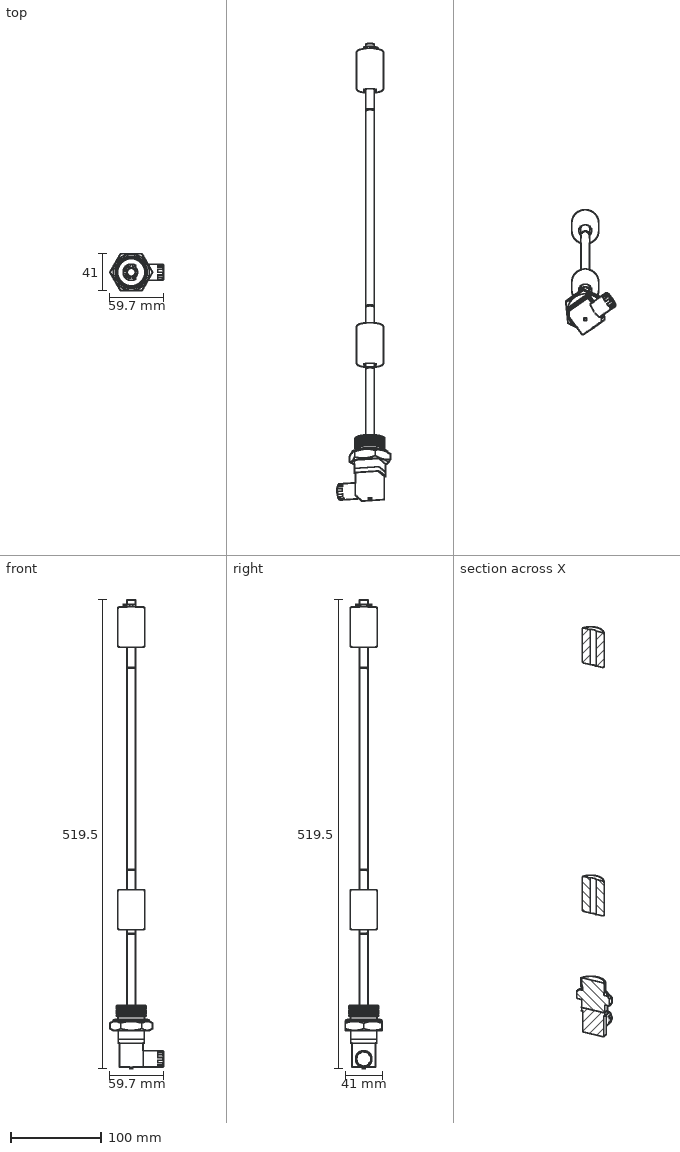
import cadquery as cq
import math

TOTAL_HEIGHT = 519.5

SCREW_DIAMETER = 3.4
PLUG_BOTTOM = 1.5
PLUG_WIDTH = 26.5
PLUG_CORNER_RADIUS = 1.3
PLUG_BOTTOM_FILLET = 1.0
COLLAR_WIDTH = 29.0
COLLAR_CORNER_RADIUS = 2.5
COLLAR_BOTTOM = 28.0
COLLAR_TOP = 33.0
GLAND_DIAMETER = 18.0
GLAND_AXIS_Z = PLUG_BOTTOM + GLAND_DIAMETER / 2
GLAND_END_X = 36.0
GLAND_NUT_LENGTH = 6.0
GLAND_NUT_START_X = GLAND_END_X - GLAND_NUT_LENGTH
NUT_CHAMFER = 1.0
NUT_FLUTES = 9
FLUTE_DIAMETER = 3.0

HEX_SIDES = 6
HEX_ACROSS_FLATS = 41.0
HEX_BOTTOM = 42.0
HEX_TOP = 52.5
FLANGE_DIAMETER = 40.0
FLANGE_TOP = 54.5
FLANGE_FACE_DIAMETER = 36.0
FLANGE_CHAMFER_HEIGHT = 1.0
HEX_CHAMFER_DIAMETER = FLANGE_DIAMETER
HEX_CHAMFER_ANGLE = 30
NECK_DIAMETER = 29.5
THREAD_DIAMETER = 33.5
THREAD_ROOT_DIAMETER = 30.0
THREAD_BOTTOM = 57.5
THREAD_TOP = 70.0
THREAD_RIDGES = 5
THREAD_CREST_SHARE = 0.3

ROD_DIAMETER = 10.0
ROD_TIP_DIAMETER = 9.0
GROOVE_DIAMETER = 8.0
STOP_GROOVE_WIDTH = 1.0
STOP_GROOVE_HEIGHTS = (149.5, 220.5, 444.5)

FLOAT_DIAMETER = 30.0
FLOAT_BORE = 14.0
FLOAT_HEIGHT = 44.5
FLOAT_FILLET = 2.0
FLOAT_BOTTOMS = (154.0, 467.0)

CLIP_DIAMETER = 18.0
CLIP_INNER_DIAMETER = 14.0
CLIP_PRONG_WIDTH = 3.0
CLIP_PRONG_ANGLES = (90, 180, 270)
CLIP_THICKNESS = 2.0
CLIP_BOTTOM = 513.0
CLIP_OPEN_SIDE_X = 5.0


def disc(diameter, bottom, top):
    return cq.Workplane("XY", origin=(0, 0, bottom)).circle(diameter / 2).extrude(top - bottom)


def rounded_square(width, corner_radius, bottom, top):
    block = cq.Workplane("XY", origin=(0, 0, bottom)).rect(width, width).extrude(top - bottom)
    return block.edges("|Z").fillet(corner_radius)


def disc_along_x(diameter, start, end):
    plane = cq.Workplane("YZ", origin=(start, 0, GLAND_AXIS_Z))
    return plane.circle(diameter / 2).extrude(end - start)


def make_gland_nut():
    nut = disc_along_x(GLAND_DIAMETER, GLAND_NUT_START_X, GLAND_END_X)
    nut = nut.faces(">X").chamfer(NUT_CHAMFER)
    flutes = (
        cq.Workplane("YZ", origin=(GLAND_NUT_START_X, 0, GLAND_AXIS_Z))
        .polarArray(GLAND_DIAMETER / 2, 0, 360, NUT_FLUTES)
        .circle(FLUTE_DIAMETER / 2)
        .extrude(GLAND_NUT_LENGTH)
    )
    return nut.cut(flutes)


def make_plug():
    cap = rounded_square(PLUG_WIDTH, PLUG_CORNER_RADIUS, PLUG_BOTTOM, COLLAR_BOTTOM)
    cap = cap.faces("<Z").fillet(PLUG_BOTTOM_FILLET)
    collar = rounded_square(COLLAR_WIDTH, COLLAR_CORNER_RADIUS, COLLAR_BOTTOM, COLLAR_TOP)
    screw = disc(SCREW_DIAMETER, 0, PLUG_BOTTOM)
    gland = disc_along_x(GLAND_DIAMETER, 0, GLAND_NUT_START_X)
    return cap.union(collar).union(screw).union(gland).union(make_gland_nut())


def make_hexagon():
    height = HEX_TOP - HEX_BOTTOM
    corner_diameter = HEX_ACROSS_FLATS / math.cos(math.pi / HEX_SIDES)
    plane = cq.Workplane("XY", origin=(0, 0, HEX_BOTTOM))
    hexagon = plane.polygon(HEX_SIDES, corner_diameter).extrude(height)
    end_radius = HEX_CHAMFER_DIAMETER / 2
    corner_radius = corner_diameter / 2
    drop = (corner_radius - end_radius) * math.tan(math.radians(HEX_CHAMFER_ANGLE))
    blank = (
        cq.Workplane("XZ")
        .moveTo(0, HEX_BOTTOM)
        .lineTo(end_radius, HEX_BOTTOM)
        .lineTo(corner_radius, HEX_BOTTOM + drop)
        .lineTo(corner_radius, HEX_TOP - drop)
        .lineTo(end_radius, HEX_TOP)
        .lineTo(0, HEX_TOP)
        .close()
        .revolve(360, (0, 0, 0), (0, 1, 0))
    )
    return hexagon.intersect(blank)


def make_flange():
    chamfer_width = (FLANGE_DIAMETER - FLANGE_FACE_DIAMETER) / 2
    flange = disc(FLANGE_DIAMETER, HEX_TOP, FLANGE_TOP)
    return flange.faces(">Z").chamfer(FLANGE_CHAMFER_HEIGHT, chamfer_width)


def make_thread():
    pitch = (THREAD_TOP - THREAD_BOTTOM) / THREAD_RIDGES
    root_radius = THREAD_ROOT_DIAMETER / 2
    profile = cq.Workplane("XZ").moveTo(0, THREAD_BOTTOM).lineTo(root_radius, THREAD_BOTTOM)
    crest_radius = THREAD_DIAMETER / 2
    crest_width = THREAD_CREST_SHARE * pitch
    flank_height = (pitch - crest_width) / 2
    for ridge in range(THREAD_RIDGES):
        ridge_bottom = THREAD_BOTTOM + ridge * pitch
        profile = profile.lineTo(crest_radius, ridge_bottom + flank_height)
        profile = profile.lineTo(crest_radius, ridge_bottom + flank_height + crest_width)
        profile = profile.lineTo(root_radius, ridge_bottom + pitch)
    return profile.lineTo(0, THREAD_TOP).close().revolve(360, (0, 0, 0), (0, 1, 0))


def make_fitting():
    base = rounded_square(COLLAR_WIDTH, COLLAR_CORNER_RADIUS, COLLAR_TOP, HEX_BOTTOM)
    flange = make_flange()
    neck = disc(NECK_DIAMETER, FLANGE_TOP, THREAD_BOTTOM)
    return base.union(make_hexagon()).union(flange).union(neck).union(make_thread())


def ring_groove(bottom, width):
    return disc(ROD_DIAMETER, bottom, bottom + width).cut(disc(GROOVE_DIAMETER, bottom, bottom + width))


def make_rod():
    rod = disc(ROD_DIAMETER, THREAD_TOP, TOTAL_HEIGHT)
    rod = rod.faces(">Z").chamfer((ROD_DIAMETER - ROD_TIP_DIAMETER) / 2)
    for height in STOP_GROOVE_HEIGHTS:
        rod = rod.cut(ring_groove(height - STOP_GROOVE_WIDTH / 2, STOP_GROOVE_WIDTH))
    return rod.cut(ring_groove(CLIP_BOTTOM, CLIP_THICKNESS))


def make_float(bottom):
    body = disc(FLOAT_DIAMETER, bottom, bottom + FLOAT_HEIGHT).faces("<Z or >Z").fillet(FLOAT_FILLET)
    return body.cut(disc(FLOAT_BORE, bottom, bottom + FLOAT_HEIGHT))


def make_clip():
    top = CLIP_BOTTOM + CLIP_THICKNESS
    plane = cq.Workplane("XY", origin=(0, 0, CLIP_BOTTOM))
    blank = disc(CLIP_DIAMETER, CLIP_BOTTOM, top)
    clip = blank.cut(disc(CLIP_INNER_DIAMETER, CLIP_BOTTOM, top))
    prong_reach = CLIP_DIAMETER / 2
    prong = plane.center(prong_reach / 2, 0).rect(prong_reach, CLIP_PRONG_WIDTH).extrude(CLIP_THICKNESS)
    prong = prong.intersect(blank).cut(disc(GROOVE_DIAMETER, CLIP_BOTTOM, top))
    for angle in CLIP_PRONG_ANGLES:
        clip = clip.union(prong.rotate((0, 0, 0), (0, 0, 1), angle))
    open_side = plane.center(CLIP_OPEN_SIDE_X + CLIP_DIAMETER / 2, 0)
    return clip.cut(open_side.rect(CLIP_DIAMETER, CLIP_DIAMETER).extrude(CLIP_THICKNESS))


plug = make_plug()
fitting = make_fitting()
rod = make_rod()
floats = [make_float(bottom) for bottom in FLOAT_BOTTOMS]
clip = make_clip()

result = cq.Compound.makeCompound(
    [plug.val(), fitting.val(), rod.val(), *[body.val() for body in floats], clip.val()]
)